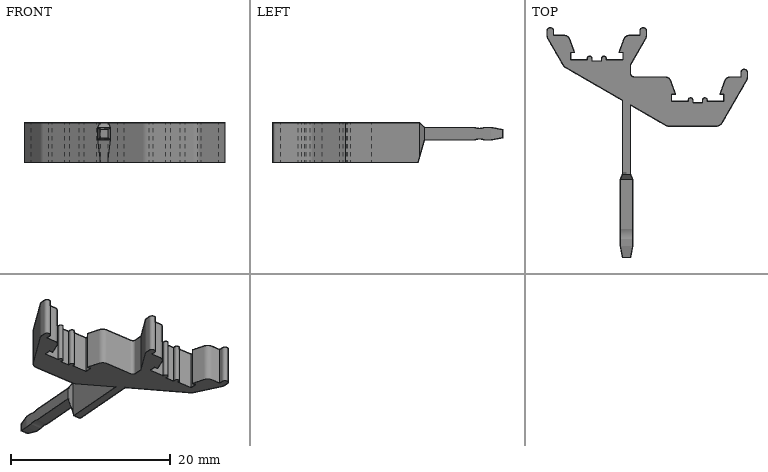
import cadquery as cq
import math

THICKNESS = 5.0
TOTAL_WIDTH = 25.1
TOTAL_LENGTH = 28.8

RAIL_WIDTH = 12.47
RAIL_DROP = 5.2
RAIL_SHIFT = TOTAL_WIDTH - RAIL_WIDTH
RAIL_ORIGINS = [(0, 0), (RAIL_SHIFT, -RAIL_DROP)]
RAIL_CENTER = RAIL_WIDTH / 2
PEG_WIDTH = 0.84
PEG_TIP_RADIUS = 0.4
PEG_SIDE = 1.2
PEG_FOOT_RADIUS = 0.85
LIP_DEPTH = 0.95
LIP_RADIUS = 0.8

MOUTH_HALF = 2.76
MOUTH_SLOPE = math.radians(20)
UNDERCUT_DEPTH = 3.15
UNDERCUT_HALF = 3.25
FLOOR_DEPTH = 4.0
RIB_WIDTH = 0.6
RIB_TOP_DEPTH = 3.57
RIB_OFFSET = 0.9
MIDDLE_FLOOR_DEPTH = 4.18

FLANK_SLOPE = math.tan(math.radians(60))
UNDERSIDE_SLOPE = math.tan(math.radians(30))
BODY_DEPTH = 12.38
LEFT_CORNER_X = 2.13
OUTER_RADIUS = 1.0
STEP_RADIUS = 0.4

STEM_X = 9.96
STEM_WIDTH = 1.05
STEM_TOP_Y = -8.65
FLARE_START_Y = -18.37
STEM_FOOT_Y = -18.2
PIN_START_Y = -19
PIN_WIDTH = 1.58
PIN_BOTTOM = 2.82
PIN_TOP = PIN_BOTTOM + PIN_WIDTH
PIN_MIDDLE = PIN_BOTTOM + PIN_WIDTH / 2
WAIST_START_Y = -25.25
WAIST_END_Y = -26.5
WAIST_DEPTH = 0.12
TAPER_START_Y = -27.35
TIP_WIDTH = 1.05


def round_edge(body, x, y, radius):
    """Round the upright edge nearest to (x, y)."""
    edge = cq.selectors.NearestToPointSelector((x, y, THICKNESS / 2))
    return body.edges("|Z").edges(edge).fillet(radius)


def make_groove():
    """Space between the two pegs of one rail, including the undercut."""
    lip_half = MOUTH_HALF + (UNDERCUT_DEPTH - LIP_DEPTH) * math.tan(MOUTH_SLOPE)
    half = [
        (RAIL_CENTER - PEG_WIDTH, 0),
        (RAIL_CENTER - PEG_WIDTH, -LIP_DEPTH),
        (lip_half, -LIP_DEPTH),
        (MOUTH_HALF, -UNDERCUT_DEPTH),
        (UNDERCUT_HALF, -UNDERCUT_DEPTH),
        (UNDERCUT_HALF, -FLOOR_DEPTH),
        (RIB_OFFSET, -FLOOR_DEPTH),
        (RIB_OFFSET, -MIDDLE_FLOOR_DEPTH),
    ]
    mirrored = [(-x, y) for x, y in reversed(half)]
    groove = cq.Workplane().polyline(half + mirrored).close().extrude(THICKNESS)
    for side in (-1, 1):
        groove = round_edge(groove, side * lip_half, -LIP_DEPTH, LIP_RADIUS)

    rib_radius = RIB_WIDTH / 2
    rib_shoulder = RIB_TOP_DEPTH + rib_radius
    for x in (-RIB_OFFSET, RIB_OFFSET):
        rib = (
            cq.Workplane()
            .moveTo(x - rib_radius, -MIDDLE_FLOOR_DEPTH)
            .lineTo(x - rib_radius, -rib_shoulder)
            .threePointArc((x, -RIB_TOP_DEPTH), (x + rib_radius, -rib_shoulder))
            .lineTo(x + rib_radius, -MIDDLE_FLOOR_DEPTH)
            .close()
            .extrude(THICKNESS)
        )
        groove = groove.cut(rib)
    return groove.translate((RAIL_CENTER, 0, 0))


def make_body():
    """Sloping body with both rails."""
    left_corner = (LEFT_CORNER_X, -PEG_SIDE - LEFT_CORNER_X * FLANK_SLOPE)
    bottom_left = (LEFT_CORNER_X + (BODY_DEPTH + left_corner[1]) / UNDERSIDE_SLOPE, -BODY_DEPTH)
    flank_height = BODY_DEPTH - RAIL_DROP - PEG_SIDE
    bottom_right = (TOTAL_WIDTH - flank_height / FLANK_SLOPE, -BODY_DEPTH)
    step_x = STEM_X + STEM_WIDTH / 2
    step = (step_x, -RAIL_DROP - LIP_DEPTH)
    inner_peg_x = RAIL_SHIFT + PEG_WIDTH
    outline = [
        (0, 0),
        (0, -PEG_SIDE),
        left_corner,
        bottom_left,
        bottom_right,
        (TOTAL_WIDTH, -RAIL_DROP - PEG_SIDE),
        (TOTAL_WIDTH, -RAIL_DROP),
        (inner_peg_x, -RAIL_DROP),
        (inner_peg_x, step[1]),
        step,
        (step_x, -PEG_SIDE - (RAIL_WIDTH - step_x) * FLANK_SLOPE),
        (RAIL_WIDTH, -PEG_SIDE),
        (RAIL_WIDTH, 0),
    ]
    body = cq.Workplane().polyline(outline).close().extrude(THICKNESS)
    for x, y in (left_corner, bottom_left, bottom_right):
        body = round_edge(body, x, y, OUTER_RADIUS)
    peg_feet = [(0, -PEG_SIDE), (RAIL_WIDTH, -PEG_SIDE), (TOTAL_WIDTH, -RAIL_DROP - PEG_SIDE)]
    for x, y in peg_feet:
        body = round_edge(body, x, y, PEG_FOOT_RADIUS)
    body = round_edge(body, *step, STEP_RADIUS)

    groove = make_groove()
    for x, y in RAIL_ORIGINS:
        body = body.cut(groove.translate((x, y, 0)))

    peg_edges = [
        (0, 0),
        (PEG_WIDTH, 0),
        (RAIL_WIDTH - PEG_WIDTH, 0),
        (RAIL_WIDTH, 0),
        (TOTAL_WIDTH - PEG_WIDTH, -RAIL_DROP),
        (TOTAL_WIDTH, -RAIL_DROP),
    ]
    for x, y in peg_edges:
        body = round_edge(body, x, y, PEG_TIP_RADIUS)
    return body


def make_stem():
    """Flat stem and waisted pin: a side profile trimmed by the plan outline."""
    waist_y = (WAIST_START_Y + WAIST_END_Y) / 2
    tip_y = -TOTAL_LENGTH
    side_profile = (
        cq.Workplane("YZ")
        .moveTo(STEM_TOP_Y, THICKNESS)
        .lineTo(FLARE_START_Y, THICKNESS)
        .lineTo(PIN_START_Y, PIN_TOP)
        .lineTo(WAIST_START_Y, PIN_TOP)
        .threePointArc((waist_y, PIN_TOP - WAIST_DEPTH), (WAIST_END_Y, PIN_TOP))
        .lineTo(TAPER_START_Y, PIN_TOP)
        .lineTo(tip_y, PIN_MIDDLE + TIP_WIDTH / 2)
        .lineTo(tip_y, PIN_MIDDLE - TIP_WIDTH / 2)
        .lineTo(TAPER_START_Y, PIN_BOTTOM)
        .lineTo(WAIST_END_Y, PIN_BOTTOM)
        .threePointArc((waist_y, PIN_BOTTOM + WAIST_DEPTH), (WAIST_START_Y, PIN_BOTTOM))
        .lineTo(PIN_START_Y, PIN_BOTTOM)
        .lineTo(STEM_FOOT_Y, 0)
        .lineTo(STEM_TOP_Y, 0)
        .close()
        .extrude(PIN_WIDTH / 2, both=True)
    )
    right_edge = [
        (STEM_WIDTH / 2, STEM_TOP_Y),
        (STEM_WIDTH / 2, FLARE_START_Y),
        (PIN_WIDTH / 2, PIN_START_Y),
        (PIN_WIDTH / 2, TAPER_START_Y),
        (TIP_WIDTH / 2, tip_y),
    ]
    left_edge = [(-x, y) for x, y in reversed(right_edge)]
    plan = cq.Workplane().polyline(right_edge + left_edge).close().extrude(THICKNESS)
    return side_profile.intersect(plan).translate((STEM_X, 0, 0))


result = make_body().union(make_stem())